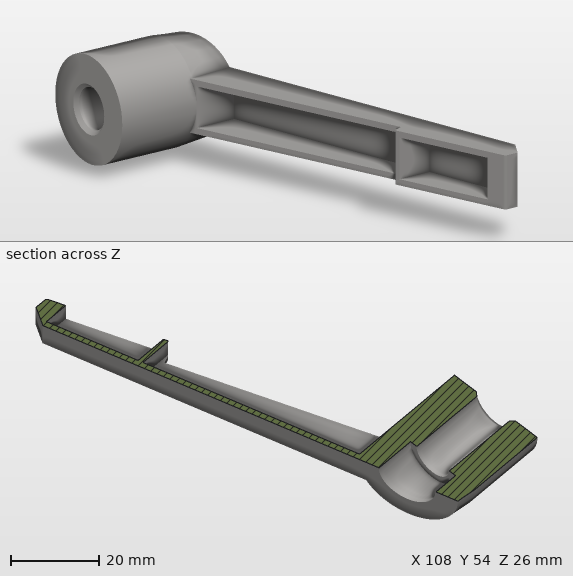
import math

import cadquery as cq


hub_diameter = 26.0
hub_radius = hub_diameter / 2
hub_straight_length = 20.75
hub_crown_height = 12.0
crown_draft_angle = 5.0
bore_diameter = 10.1
bore_chamfer = 0.95
counterbore_diameter = 14.0

lever_length = 108.0
lever_height = 54.0
tip_x = lever_length - hub_radius
arm_width = 13.0
top_angle = 15.4
under_angle = 20.0
tip_angle = 30.0
top_height_at_axis = 29.15
under_height_at_axis = 16.0
tip_corner_radius = 0.8

step_x = 65.6
step_depth = 2.6
step_radius = 0.5

wall = 1.5
roof = 1.5
front_pocket_start = hub_radius
front_pocket_end = 66.5
grip_pocket_start = 67.8
grip_pocket_end = 90.4

top_slope = math.tan(math.radians(top_angle))
under_slope = math.tan(math.radians(under_angle))
tip_slope = math.tan(math.radians(tip_angle))


def top_y(x):
    """Height of the sloping top plane at x."""
    return top_height_at_axis + x * top_slope


def under_y(x):
    """Height of the underside between the hub and the step at x."""
    return under_height_at_axis + x * under_slope


def profile_plate(points, width):
    """XY outline extruded symmetrically about the mid plane z = 0."""
    return cq.Workplane("XY").polyline(points).close().extrude(width / 2, both=True)


def make_hub():
    """Solid barrel with a slightly tapered crown, trimmed by the sloping top."""
    crown_taper = hub_crown_height * math.tan(math.radians(crown_draft_angle))
    crown_y = hub_straight_length + hub_crown_height
    hub = (
        cq.Workplane("XY")
        .moveTo(0, 0)
        .lineTo(hub_radius, 0)
        .lineTo(hub_radius, hub_straight_length)
        .lineTo(hub_radius - crown_taper, crown_y)
        .lineTo(0, crown_y)
        .close()
        .revolve(360, (0, 0, 0), (0, 1, 0))
    )
    below_top = [
        (-hub_diameter, 0),
        (hub_diameter, 0),
        (hub_diameter, top_y(hub_diameter)),
        (-hub_diameter, top_y(-hub_diameter)),
    ]
    return hub.intersect(profile_plate(below_top, hub_diameter))


def make_arm():
    """Solid arm, rooted on the hub axis."""
    apex_x = (lever_height - top_height_at_axis) / top_slope
    step_run = step_depth * math.sin(math.radians(under_angle))
    step_drop = step_depth * math.cos(math.radians(under_angle))
    step_top = (step_x, under_y(step_x))
    step_foot = (step_x + step_run, under_y(step_x) - step_drop)
    tip_low = (tip_x, step_foot[1] + (tip_x - step_foot[0]) * under_slope)
    tip_high = (tip_x, lever_height - (tip_x - apex_x) * tip_slope)
    outline = [
        (0, under_y(0)),
        step_top,
        step_foot,
        tip_low,
        tip_high,
        (apex_x, lever_height),
        (0, top_y(0)),
    ]
    arm = profile_plate(outline, arm_width)
    arm = fillet_corner(arm, step_foot, step_radius)
    return fillet_corner(arm, tip_low, tip_corner_radius)


def fillet_corner(body, corner, radius):
    """Round the Z-parallel edge that passes through an outline corner."""
    return body.edges(cq.selectors.NearestToPointSelector((corner[0], corner[1], 0))).fillet(radius)


def make_pocket(start_x, end_x):
    """Cutter open to -Y, leaving a roof of even thickness under the sloping top."""
    roof_along_y = roof / math.cos(math.radians(top_angle))
    outline = [
        (start_x, 0),
        (end_x, 0),
        (end_x, top_y(end_x) - roof_along_y),
        (start_x, top_y(start_x) - roof_along_y),
    ]
    return profile_plate(outline, arm_width - 2 * wall)


def make_hub_hole():
    """Through bore with a chamfered mouth and a counterbore from the sloping top."""
    bore_radius = bore_diameter / 2
    mouth_radius = bore_radius + bore_chamfer
    counterbore_radius = counterbore_diameter / 2
    outline = [
        (0, 0),
        (mouth_radius, 0),
        (bore_radius, bore_chamfer),
        (bore_radius, hub_straight_length),
        (counterbore_radius, hub_straight_length),
        (counterbore_radius, lever_height),
        (0, lever_height),
    ]
    return cq.Workplane("XY").polyline(outline).close().revolve(360, (0, 0, 0), (0, 1, 0))


arm = make_arm()
arm = arm.cut(make_pocket(front_pocket_start, front_pocket_end))
arm = arm.cut(make_pocket(grip_pocket_start, grip_pocket_end))
result = make_hub().union(arm).cut(make_hub_hole())